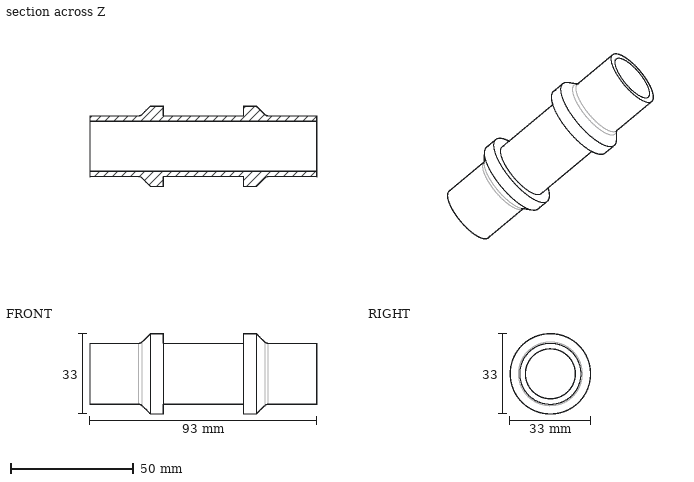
import cadquery as cq
import math

length = 93.0
tube_diameter = 25.0
bore_diameter = 20.4
collar_diameter = 33.0
spigot_length = 20.0
collar_gap = 32.7
fillet_radius = 1.95
cone_angle = math.radians(45)

tube_radius = tube_diameter / 2
collar_radius = collar_diameter / 2
half_length = length / 2
collar_inner_x = collar_gap / 2
fillet_start_x = half_length - spigot_length


def fillet_point(angle):
    """Point on the concave fillet where its slope to the axis is the given angle."""
    x = fillet_start_x - fillet_radius * math.sin(angle)
    radius = tube_radius + fillet_radius * (1 - math.cos(angle))
    return x, radius


fillet_end_x, fillet_end_radius = fillet_point(cone_angle)
cone_length = (collar_radius - fillet_end_radius) / math.tan(cone_angle)
cone_top_x = fillet_end_x - cone_length

tube = cq.Workplane("YZ", origin=(-half_length, 0, 0)).circle(tube_radius).extrude(length)

collar = (
    cq.Workplane("XY")
    .moveTo(collar_inner_x, 0)
    .lineTo(collar_inner_x, collar_radius)
    .lineTo(cone_top_x, collar_radius)
    .lineTo(fillet_end_x, fillet_end_radius)
    .threePointArc(fillet_point(cone_angle / 2), (fillet_start_x, tube_radius))
    .lineTo(fillet_start_x, 0)
    .close()
    .revolve(360, (0, 0, 0), (1, 0, 0))
)

bore = cq.Workplane("YZ", origin=(-half_length, 0, 0)).circle(bore_diameter / 2).extrude(length)

result = tube.union(collar).union(collar.mirror("YZ")).cut(bore)